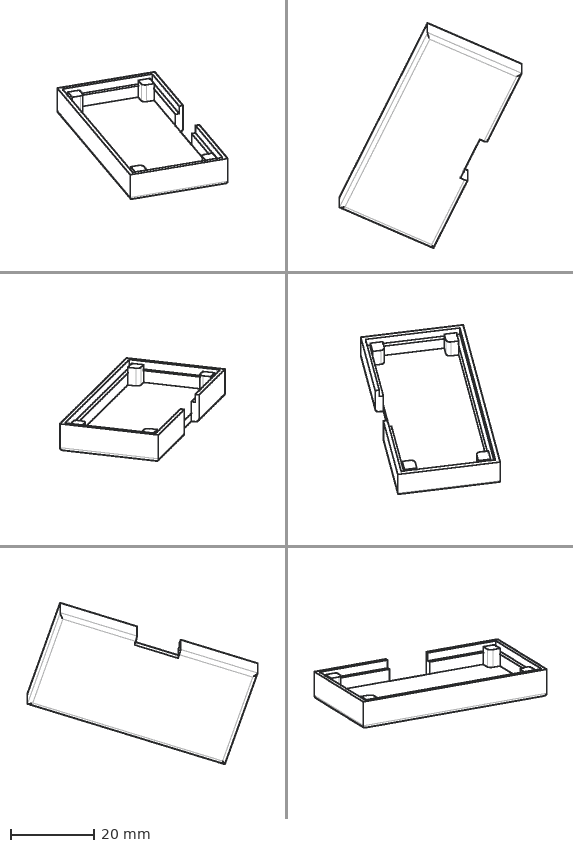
import cadquery as cq

length = 50.0
width = 25.0
height = 7.0
bottom_round = 1.0

lip_thickness = 1.0
wall_thickness = 2.0
lip_height = 2.0
floor_thickness = 2.0

post_size = 3.0
post_round = 1.0
post_top = 6.5

opening_width = 11.0


def tray_body():
    """Solid block with rounded bottom edges, underside at Z = 0."""
    block = cq.Workplane("XY").box(length, width, height, centered=(True, True, False))
    return block.faces("<Z").edges().fillet(bottom_round)


def recess(wall, bottom):
    """Rectangular cavity inside a given wall thickness, open at the top."""
    return (
        cq.Workplane("XY")
        .workplane(offset=bottom)
        .rect(length - 2 * wall, width - 2 * wall)
        .extrude(height - bottom)
    )


def wall_opening():
    """Full-height gap in the +Y wall."""
    return (
        cq.Workplane("XY")
        .center(0, width / 2 - wall_thickness / 2)
        .rect(opening_width, wall_thickness)
        .extrude(height)
    )


def corner_post(x_side, y_side):
    """Square post in one cavity corner, rounded on its free vertical edge."""
    center_x = x_side * (length / 2 - wall_thickness - post_size / 2)
    center_y = y_side * (width / 2 - wall_thickness - post_size / 2)
    free_edge = (">" if x_side < 0 else "<") + "X"
    free_face = (">" if y_side < 0 else "<") + "Y"
    return (
        cq.Workplane("XY")
        .workplane(offset=floor_thickness)
        .center(center_x, center_y)
        .rect(post_size, post_size)
        .extrude(post_top - floor_thickness)
        .faces(free_face)
        .edges(free_edge)
        .fillet(post_round)
    )


result = tray_body()
result = result.cut(recess(lip_thickness, height - lip_height))
result = result.cut(recess(wall_thickness, floor_thickness))
result = result.cut(wall_opening())
for x_side in (-1, 1):
    for y_side in (-1, 1):
        result = result.union(corner_post(x_side, y_side))